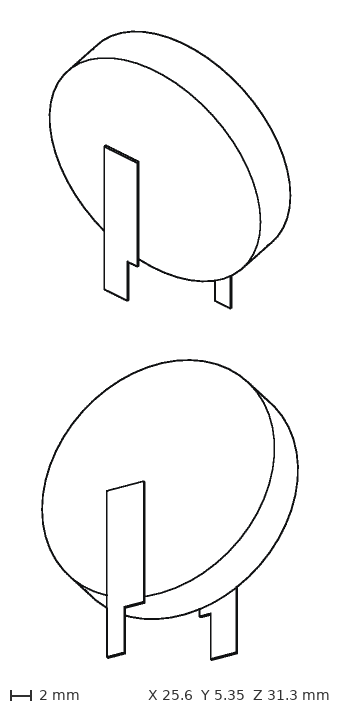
import cadquery as cq

cell_diameter = 25.6
cell_thickness = 4.85
front_face_y = -cell_thickness / 2
rear_face_y = cell_thickness / 2

overall_height = 31.3
tab_thickness = 0.25
blade_width = 4.05
blade_length = 13.43
leg_tip_z = cell_diameter / 2 - overall_height

front_outer_x = -5.98
front_leg_width = 2.82
rear_outer_x = 5.5
rear_leg_width = 1.88


def make_tab(outer_x, inward, leg_width, back_y):
    """Stepped flat tab; inward is +1 or -1 along X, back_y is its +Y face."""
    blade_inner_x = outer_x + inward * blade_width
    leg_inner_x = outer_x + inward * leg_width
    outline = [
        (outer_x, 0),
        (blade_inner_x, 0),
        (blade_inner_x, -blade_length),
        (leg_inner_x, -blade_length),
        (leg_inner_x, leg_tip_z),
        (outer_x, leg_tip_z),
    ]
    return cq.Workplane("XZ", origin=(0, back_y, 0)).polyline(outline).close().extrude(tab_thickness)


def make_cell():
    """Disc with the front tab joined to its front face as one solid."""
    disc = cq.Workplane("XZ", origin=(0, rear_face_y, 0)).circle(cell_diameter / 2).extrude(cell_thickness)
    front_tab = make_tab(front_outer_x, 1, front_leg_width, front_face_y)
    return disc.union(front_tab).solids()


def make_rear_tab():
    """Separate tab lying flat against the rear face of the disc."""
    return make_tab(rear_outer_x, -1, rear_leg_width, rear_face_y + tab_thickness)


cell = make_cell()
rear_tab = make_rear_tab()

result = cq.Compound.makeCompound([cell.val(), rear_tab.val()])